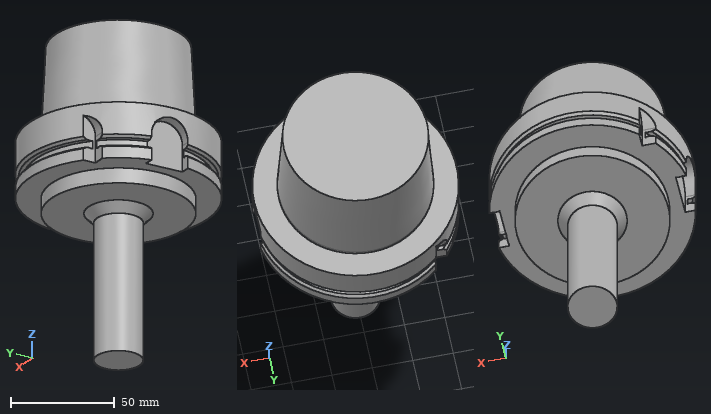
import cadquery as cq

shank_radius = 12.0
shank_length = 72.5
neck_radius = 16.8
neck_height = 5.0

collar_radius = 37.5
collar_height = 7.9

flange_radius = 50.0
flange_height = 29.5
groove_radius = 46.0
groove_lip_radius = 48.5
lower_rim_height = 6.1
lower_bevel_height = 1.2
groove_width = 4.0
upper_bevel_height = 1.3

head_base_radius = 37.92
head_base_height = 1.8
head_top_radius = 35.4
total_height = 164.5

slot_width = 20.4
slot_height = 24.2
drive_floor_distance = 43.8
notch_wall_y = 31.7
notch_floor_distance = 31.9

collar_bottom = shank_length + neck_height
flange_bottom = collar_bottom + collar_height
flange_top = flange_bottom + flange_height
rim_top = flange_bottom + lower_rim_height
groove_bottom = rim_top + lower_bevel_height
groove_top = groove_bottom + groove_width
upper_rim_bottom = groove_top + upper_bevel_height
taper_bottom = flange_top + head_base_height


def turned_body():
    """Solid of revolution: shank, neck, collar, grooved flange and head."""
    half_profile = [
        (0, 0),
        (shank_radius, 0),
        (shank_radius, shank_length),
        (neck_radius, collar_bottom),
        (collar_radius, collar_bottom),
        (collar_radius, flange_bottom),
        (flange_radius, flange_bottom),
        (flange_radius, rim_top),
        (groove_lip_radius, groove_bottom),
        (groove_radius, groove_bottom),
        (groove_radius, groove_top),
        (groove_lip_radius, groove_top),
        (flange_radius, upper_rim_bottom),
        (flange_radius, flange_top),
        (head_base_radius, flange_top),
        (head_base_radius, taper_bottom),
        (head_top_radius, total_height),
        (0, total_height),
    ]
    return cq.Workplane("XZ").polyline(half_profile).close().revolve(360, (0, 0), (0, 1))


def rim_slot(center_y, floor_distance):
    """Round-topped cutter on the -X side, from its flat floor out past the rim."""
    half_width = slot_width / 2
    arc_start = flange_bottom + slot_height - half_width
    return (
        cq.Workplane("YZ", origin=(-floor_distance, 0, 0))
        .moveTo(center_y - half_width, flange_bottom)
        .lineTo(center_y + half_width, flange_bottom)
        .lineTo(center_y + half_width, arc_start)
        .threePointArc(
            (center_y, flange_bottom + slot_height),
            (center_y - half_width, arc_start),
        )
        .close()
        .extrude(-flange_radius)
    )


result = turned_body()

drive_slot = rim_slot(0, drive_floor_distance)
for angle in (0, 180):
    result = result.cut(drive_slot.rotate((0, 0, 0), (0, 0, 1), angle))

notch_center_y = notch_wall_y + slot_width / 2
result = result.cut(rim_slot(notch_center_y, notch_floor_distance))